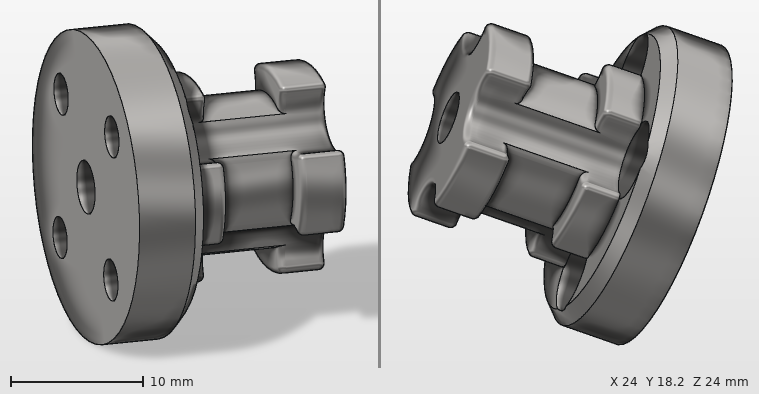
import cadquery as cq
import math

flange_diameter = 24.0
flange_thickness = 5.5
flange_chamfer = 1.0

lobe_diameter = 16.0
neck_diameter = 12.0
lower_lobe_length = 3.0
neck_length = 6.0
upper_lobe_length = 3.7
lobe_fillet = 0.5

tolerance = 1e-3

bore_diameter = 4.1
bolt_circle_radius = 8.03
first_bolt_angle = 43.9
bolt_hole_diameter = 3.2
flute_diameter = 5.5
head_recess_diameter = 6.2
head_recess_depths = [2.0, 4.0, 4.0, 4.0]
bolt_count = len(head_recess_depths)

lower_lobe_end = flange_thickness + lower_lobe_length
upper_lobe_start = lower_lobe_end + neck_length
total_length = upper_lobe_start + upper_lobe_length


def bolt_centre(index):
    """X and Z of one bolt axis."""
    angle = math.radians(first_bolt_angle + index * 360.0 / bolt_count)
    return bolt_circle_radius * math.cos(angle), bolt_circle_radius * math.sin(angle)


def cylinder(diameter, start, end, centre=(0.0, 0.0)):
    """Cylinder along Y from start to end, centred on the given X and Z."""
    axis_start = cq.Vector(centre[0], start, centre[1])
    solid = cq.Solid.makeCylinder(diameter / 2, end - start, axis_start, cq.Vector(0, 1, 0))
    return cq.Workplane(obj=solid)


def cut_at_bolts(body, diameter, start, end):
    """Cut the same cylinder at every bolt position."""
    for index in range(bolt_count):
        body = body.cut(cylinder(diameter, start, end, bolt_centre(index)))
    return body


def make_flange():
    """Chamfered disc with a recess for each bolt head."""
    disc = cylinder(flange_diameter, 0, flange_thickness)
    disc = disc.faces(">Y").chamfer(flange_chamfer)
    for index, depth in enumerate(head_recess_depths):
        floor = flange_thickness - depth
        disc = disc.cut(cylinder(head_recess_diameter, floor, flange_thickness, bolt_centre(index)))
    return disc


def is_lobe_edge(edge):
    """True for the convex edges of the lobes, which are the ones to round."""
    middle = edge.positionAt(0.5)
    on_end_face = abs(middle.y - total_length) < tolerance
    on_flange = middle.y < flange_thickness + tolerance
    outside_neck = math.hypot(middle.x, middle.z) > neck_diameter / 2 + tolerance
    return on_end_face or (outside_neck and not on_flange)


def make_spool():
    """Fluted spool with rounded lobes at both ends of a narrower neck."""
    spool = cylinder(neck_diameter, flange_thickness, total_length)
    spool = spool.union(cylinder(lobe_diameter, flange_thickness, lower_lobe_end))
    spool = spool.union(cylinder(lobe_diameter, upper_lobe_start, total_length))
    spool = cut_at_bolts(spool, flute_diameter, flange_thickness, total_length)
    lobe_edges = [edge for edge in spool.edges().vals() if is_lobe_edge(edge)]
    return spool.newObject(lobe_edges).fillet(lobe_fillet)


result = make_flange().union(make_spool())
result = result.cut(cylinder(bore_diameter, 0, total_length))
result = cut_at_bolts(result, bolt_hole_diameter, 0, flange_thickness)